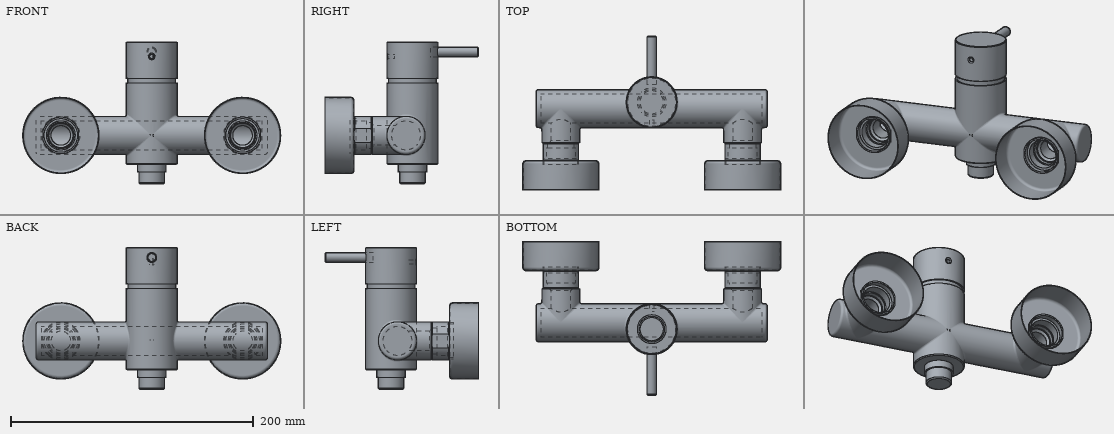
import cadquery as cq

column_radius = 21.0
pipe_radius = 15.8
arm_front_inset = 0.02
arm_y = pipe_radius + arm_front_inset - column_radius
inlet_spacing = 150.0
inlet_positions = (-inlet_spacing / 2, inlet_spacing / 2)

column_bottom = -24.0
column_top = 43.2
column_chamfer = 0.9
neck_radius = 19.8
neck_top = 47.0

collar_radius = 12.0
collar_bottom = -30.0
nipple_radius = 10.6
nipple_bottom = -40.0
nipple_chamfer = 1.0

arm_length = 190.8
arm_end_fillet = 2.1
arm_end_wall = 4.3
arm_bore_radius = 12.0
arm_bore_length = arm_length - 2 * arm_end_wall
leg_bore_radius = 8.0
leg_bore_countersink = 2.0
leg_front_y = -33.7
joint_chamfer = 0.6
junction_fillet = 1.5

handle_top = 77.0
handle_edge = 0.6
screw_hole_z = 65.2
screw_hole_radius = 1.7
screw_hole_depth = 6.4
screw_countersink = 1.0

lever_radius = 4.0
lever_z = 68.8
lever_tip_y = 54.5
lever_tip_chamfer = 0.9
lever_socket_depth = 6.4
lever_inner_y = column_radius - lever_socket_depth

escutcheon_radius = 31.5
escutcheon_back_y = -48.1
escutcheon_front_y = -72.2
escutcheon_wall = 0.53
escutcheon_fillet = 2.8

connector_radius = 15.8
connector_across_flats = 29.5
connector_spigot_radius = connector_radius - joint_chamfer
connector_front_y = -51.3
connector_mouth_radius = 13.8
connector_mouth_depth = 5.0
connector_bore_radius = 12.0
connector_seat_radius = 10.9
connector_seat_depth = 4.3


def cylinder_z(radius, bottom, top):
    return cq.Workplane("XY").workplane(offset=bottom).circle(radius).extrude(top - bottom)


def cylinder_y(radius, x, z, front, back):
    """Cylinder along Y between the two Y positions, front being the lower one."""
    return cq.Workplane("XZ", origin=(x, back, z)).circle(radius).extrude(back - front)


def cylinder_x(radius, length):
    """Cylinder along the arm axis, centred on X = 0."""
    return cq.Workplane("YZ", origin=(-length / 2, arm_y, 0)).circle(radius).extrude(length)


def countersink_y(hole_radius, depth, x, z, mouth_y):
    """45-degree cone that opens a hole along Y towards its mouth on the low-Y side."""
    mouth_circle = cq.Workplane("XZ", origin=(x, mouth_y, z)).circle(hole_radius + depth)
    return mouth_circle.workplane(offset=-depth).circle(hole_radius).loft()


def fillet_junctions(solid, radius):
    """Round the curved seams where pipes run into one another."""
    seams = [edge for edge in solid.edges().vals() if edge.geomType() not in ("LINE", "CIRCLE")]
    return cq.Workplane(solid.val().fillet(radius, seams))


def make_body():
    column = cylinder_z(column_radius, column_bottom, column_top).faces("<Z").chamfer(column_chamfer)
    neck = cylinder_z(neck_radius, column_top, neck_top)
    collar = cylinder_z(collar_radius, collar_bottom, column_bottom)
    nipple = cylinder_z(nipple_radius, nipple_bottom, collar_bottom).faces("<Z").chamfer(nipple_chamfer)

    arm = cylinder_x(pipe_radius, arm_length).faces("<X or >X").edges().fillet(arm_end_fillet)
    body = column.union(arm)
    for x in inlet_positions:
        leg = cylinder_y(pipe_radius, x, 0, leg_front_y, arm_y)
        body = body.union(leg.faces("<Y").chamfer(joint_chamfer))
    body = fillet_junctions(body, junction_fillet)
    body = body.union(neck).union(collar).union(nipple)

    body = body.cut(cylinder_x(arm_bore_radius, arm_bore_length))
    for x in inlet_positions:
        leg_bore = cylinder_y(leg_bore_radius, x, 0, leg_front_y, arm_y)
        countersink = countersink_y(leg_bore_radius, leg_bore_countersink, x, 0, leg_front_y)
        body = body.cut(leg_bore).cut(countersink)
    return body


def make_lever():
    lever = cylinder_y(lever_radius, 0, lever_z, lever_inner_y, lever_tip_y)
    return lever.faces(">Y").chamfer(lever_tip_chamfer)


def make_handle():
    handle = cylinder_z(column_radius, neck_top, handle_top).faces(">Z").chamfer(handle_edge)
    lever_socket = cylinder_y(lever_radius, 0, lever_z, lever_inner_y, column_radius)
    handle = handle.cut(lever_socket)

    hole_bottom_y = screw_hole_depth - column_radius
    screw_hole = cylinder_y(screw_hole_radius, 0, screw_hole_z, -column_radius, hole_bottom_y)
    countersink = countersink_y(screw_hole_radius, screw_countersink, 0, screw_hole_z, -column_radius)
    return handle.cut(screw_hole).cut(countersink)


def make_connector_blank(x):
    """Round bar with a front spigot and a flat on each side, before boring."""
    bar = cylinder_y(connector_radius, x, 0, escutcheon_back_y, leg_front_y)
    bar = bar.faces("<Y or >Y").edges().chamfer(joint_chamfer)
    bar = bar.union(cylinder_y(connector_spigot_radius, x, 0, connector_front_y, escutcheon_back_y))
    bar_length = leg_front_y - connector_front_y
    bar_middle_y = (leg_front_y + connector_front_y) / 2
    between_flats = cq.Workplane("XY", origin=(x, bar_middle_y, 0)).box(
        connector_across_flats, bar_length, 2 * connector_radius
    )
    return bar.intersect(between_flats)


def make_connector(x):
    mouth_floor_y = connector_front_y + connector_mouth_depth
    mouth = cylinder_y(connector_mouth_radius, x, 0, connector_front_y, mouth_floor_y)
    seat_y = leg_front_y - connector_seat_depth
    bore = cylinder_y(connector_bore_radius, x, 0, mouth_floor_y, seat_y)
    seat = cylinder_y(connector_seat_radius, x, 0, seat_y, leg_front_y)
    return make_connector_blank(x).cut(mouth).cut(bore).cut(seat)


def make_escutcheon(x):
    shell = cylinder_y(escutcheon_radius, x, 0, escutcheon_front_y, escutcheon_back_y)
    shell = shell.faces(">Y").edges().fillet(escutcheon_fillet)
    floor_y = escutcheon_back_y - escutcheon_wall
    hollow = cylinder_y(escutcheon_radius - escutcheon_wall, x, 0, escutcheon_front_y, floor_y)
    hollow = hollow.faces(">Y").edges().fillet(escutcheon_fillet - escutcheon_wall)
    return shell.cut(hollow).cut(make_connector_blank(x))


body = make_body()
handle = make_handle()
lever = make_lever()
connectors = [make_connector(x) for x in inlet_positions]
escutcheons = [make_escutcheon(x) for x in inlet_positions]
result = cq.Compound.makeCompound(
    [body.val(), handle.val(), lever.val()]
    + [c.val() for c in connectors]
    + [e.val() for e in escutcheons]
)